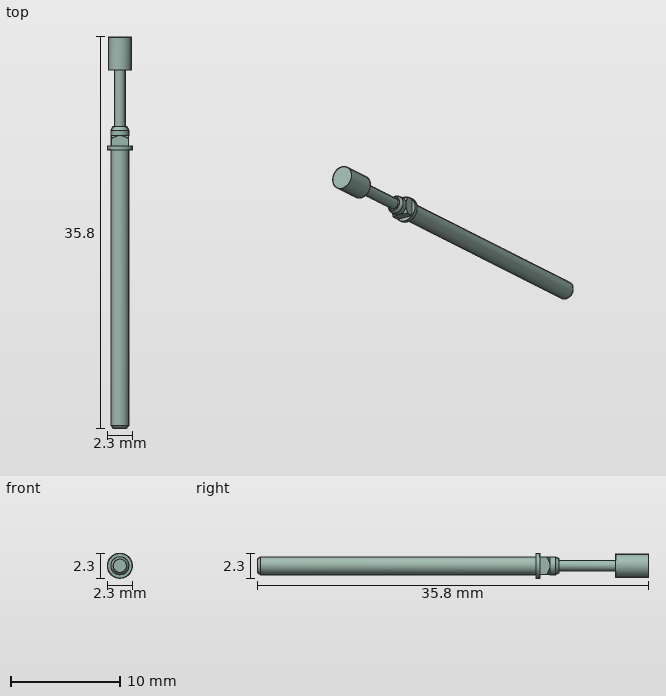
import cadquery as cq

total_length = 35.8

head_diameter = 2.1
rod_diameter = 1.0
body_diameter = 1.65
flange_diameter = 2.3

head_length = 3.0
rod_length = 5.2
nose_length = 0.32
nose_step = 0.18
neck_length = 0.5
square_length = 0.93
flange_length = 0.35

square_width = 1.6
shoulder_length = 0.3

tail_chamfer_length = 0.3
tail_chamfer_depth = 0.2

head_end = total_length / 2
head_back = head_end - head_length
nose_end = head_back - rod_length
neck_end = nose_end - nose_length
square_end = neck_end - neck_length
flange_front = square_end - square_length
flange_back = flange_front - flange_length
tail_end = -total_length / 2

body_radius = body_diameter / 2
flange_radius = flange_diameter / 2


def turned(profile):
    """Revolve a list of (radius, y) points, closed along the Y axis."""
    first_y = profile[0][1]
    last_y = profile[-1][1]
    outline = cq.Workplane("XY").polyline([(0, first_y), *profile, (0, last_y)]).close()
    return outline.revolve(360, (0, 0, 0), (0, 1, 0))


def cylinder(diameter, start, end):
    """Round length between two places along Y."""
    return turned([(diameter / 2, start), (diameter / 2, end)])


def make_plunger():
    """Head and the thin rod that carries it."""
    head = cylinder(head_diameter, head_end, head_back)
    rod = cylinder(rod_diameter, head_back, nose_end)
    return head.union(rod)


def make_nose():
    """Tapered nose and the round neck behind it."""
    return turned([
        (body_radius - nose_step, nose_end),
        (body_radius, neck_end),
        (body_radius, square_end),
    ])


def make_square():
    """Square section whose corners rise on a cone from the neck to the flange diameter."""
    blank = turned([
        (body_radius, square_end),
        (flange_radius, square_end - shoulder_length),
        (flange_radius, flange_front),
    ])
    flats = cq.Workplane("XY").box(square_width, square_length, square_width)
    middle = (square_end + flange_front) / 2
    return blank.intersect(flats.translate((0, middle, 0)))


def make_body():
    """Long round body behind the flange, chamfered at its tail end."""
    return turned([
        (body_radius, flange_back),
        (body_radius, tail_end + tail_chamfer_length),
        (body_radius - tail_chamfer_depth, tail_end),
    ])


flange = cylinder(flange_diameter, flange_front, flange_back)

result = make_plunger()
for section in (make_nose(), make_square(), flange, make_body()):
    result = result.union(section)